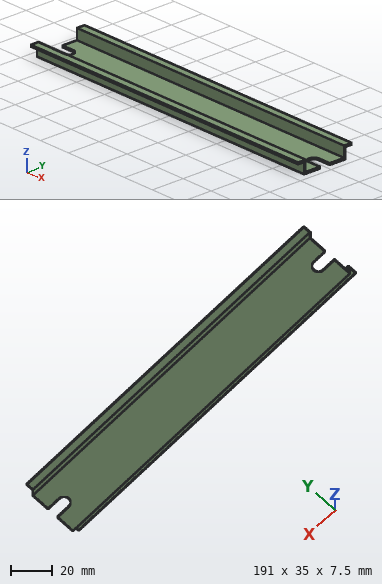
import cadquery as cq

length = 191.0
width = 35.0
height = 7.5

thickness = 1.0
channel_inner_width = 25.0
channel_outer_width = channel_inner_width + 2 * thickness

slot_width = 6.3
slot_depth = 10.9


def box_on_base(size_x, size_y, size_z, base_z):
    """Box centred on X and Y, standing on the height base_z."""
    return (
        cq.Workplane("XY")
        .box(size_x, size_y, size_z, centered=(True, True, False))
        .translate((0, 0, base_z))
    )


def rail_body():
    """Channel with a flange turned outward along each upper edge."""
    channel = box_on_base(length, channel_outer_width, height, 0)
    flanges = box_on_base(length, width, thickness, height - thickness)
    cavity = box_on_base(length, channel_inner_width, height, thickness)
    return channel.union(flanges).cut(cavity)


def end_slots():
    """Round-nosed slots through the web, one open at each end."""
    return (
        cq.Workplane("XY")
        .pushPoints([(-length / 2, 0), (length / 2, 0)])
        .slot2D(2 * slot_depth, slot_width)
        .extrude(thickness)
    )


result = rail_body().cut(end_slots())